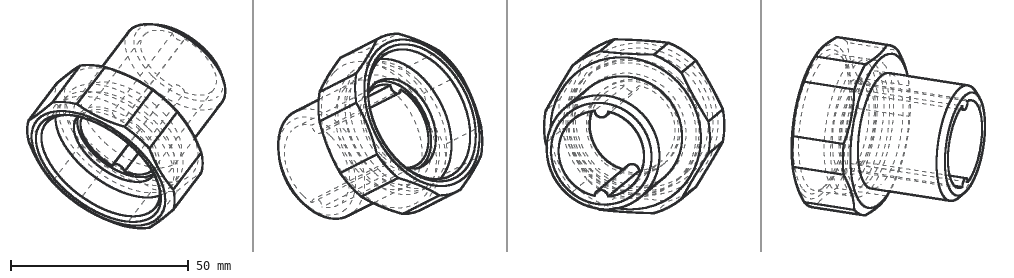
import cadquery as cq
import math

nut_length = 18.0
corner_radius = 24.25
across_flats = 45.9
nut_face_radius = 21.95
nut_chamfer_angle = 30.0
mouth_radius = 20.55
bore_radius = 19.45
mouth_chamfer = mouth_radius - bore_radius

gasket_depth = 8.9
gasket_thickness = 2.0
gasket_hole_radius = 13.5

tail_end = 43.8
tail_radius = 16.5
tail_bore_radius = 12.45
tail_chamfer = 1.8
flange_thickness = 3.0
rib_radius = 2.0
rib_angles = (90, 270)

flange_front = gasket_depth + gasket_thickness
flange_back = flange_front + flange_thickness


def revolve_profile(points):
    """Revolve a closed (radius, Y) outline around the Y axis."""
    return cq.Workplane("XY").polyline(points).close().revolve(360, (0, 0), (0, 1))


def cylinder(radius, start, end):
    """Solid cylinder on the Y axis from start to end."""
    return cq.Workplane("XZ", origin=(0, start, 0)).circle(radius).extrude(start - end)


def make_nut():
    """Hexagon nut with rounded corners, stepped bore and chamfered ends."""
    chamfer_length = (corner_radius - nut_face_radius) * math.tan(math.radians(nut_chamfer_angle))
    blank = revolve_profile([
        (0, 0),
        (nut_face_radius, 0),
        (corner_radius, chamfer_length),
        (corner_radius, nut_length - chamfer_length),
        (nut_face_radius, nut_length),
        (0, nut_length),
    ])
    hexagon = cq.Workplane("XZ").polygon(6, across_flats / math.cos(math.pi / 6)).extrude(-nut_length)
    cavity = revolve_profile([
        (0, 0),
        (mouth_radius, 0),
        (bore_radius, mouth_chamfer),
        (bore_radius, flange_back),
        (tail_radius, flange_back),
        (tail_radius, nut_length),
        (0, nut_length),
    ])
    return blank.intersect(hexagon).cut(cavity)


def make_gasket():
    """Flat ring clamped against the tailpiece flange."""
    ring = cylinder(bore_radius, gasket_depth, flange_front)
    return ring.cut(cylinder(gasket_hole_radius, gasket_depth, flange_front))


def make_tailpiece():
    """Flanged tube with a chamfered end and two round ribs along its bore."""
    tube = revolve_profile([
        (tail_bore_radius, flange_front),
        (bore_radius, flange_front),
        (bore_radius, flange_back),
        (tail_radius, flange_back),
        (tail_radius, tail_end - tail_chamfer),
        (tail_radius - tail_chamfer, tail_end),
        (tail_bore_radius, tail_end),
    ])
    for angle in rib_angles:
        x = tail_bore_radius * math.cos(math.radians(angle))
        z = tail_bore_radius * math.sin(math.radians(angle))
        rib = cylinder(rib_radius, flange_front, tail_end).translate((x, 0, z))
        tube = tube.union(rib)
    return tube


nut = make_nut()
gasket = make_gasket()
tailpiece = make_tailpiece()

result = cq.Compound.makeCompound([nut.val(), gasket.val(), tailpiece.val()])